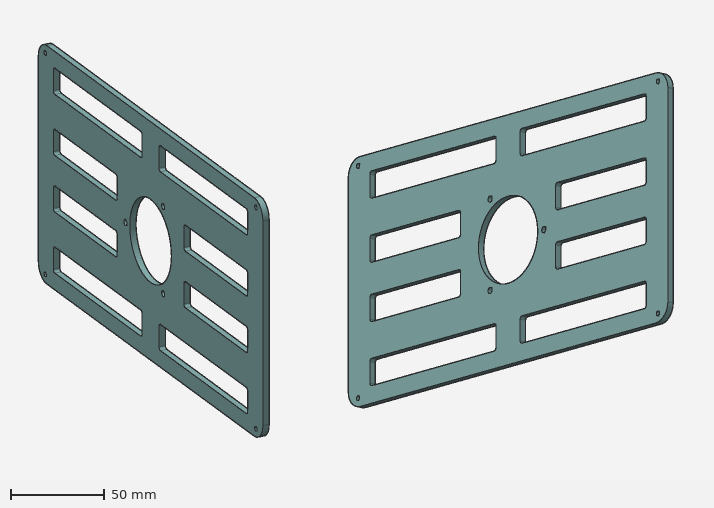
import cadquery as cq

width = 260.0
height = 138.0
thickness = 4.0
corner_radius = 10.0

slot_height = 15.0
slot_corner_radius = 1.5
slot_outer_end = 112.3
outer_slot_inner_end = 10.0
outer_slot_z = 51.7
inner_slot_inner_end = 38.7
inner_slot_z = 16.5

opening_diameter = 48.0
ring_radius = 29.0
ring_hole_count = 3
ring_hole_diameter = 3.5

mount_hole_diameter = 2.5
mount_hole_side_inset = 8.0
mount_hole_edge_inset = 5.0
mount_spacing_x = width - 2 * mount_hole_side_inset
mount_spacing_z = height - 2 * mount_hole_edge_inset


def extrude_through(sketch):
    """Extrude closed XZ outlines over the full plate thickness, centred on Y = 0."""
    return sketch.extrude(thickness / 2, both=True)


def slot_row(inner_end, z):
    """Four rounded slots placed symmetrically about the plate centre."""
    length = slot_outer_end - inner_end
    x = (slot_outer_end + inner_end) / 2
    centres = [(side * x, level * z) for side in (-1, 1) for level in (-1, 1)]
    slots = extrude_through(cq.Workplane("XZ").pushPoints(centres).rect(length, slot_height))
    return slots.edges("|Y").fillet(slot_corner_radius)


plate = extrude_through(cq.Workplane("XZ").rect(width, height))
plate = plate.edges("|Y").fillet(corner_radius)

opening = extrude_through(cq.Workplane("XZ").circle(opening_diameter / 2))

ring_holes = extrude_through(
    cq.Workplane("XZ")
    .polarArray(ring_radius, 180, 360, ring_hole_count)
    .circle(ring_hole_diameter / 2)
)

mount_holes = extrude_through(
    cq.Workplane("XZ")
    .rect(mount_spacing_x, mount_spacing_z, forConstruction=True)
    .vertices()
    .circle(mount_hole_diameter / 2)
)

result = (
    plate.cut(slot_row(outer_slot_inner_end, outer_slot_z))
    .cut(slot_row(inner_slot_inner_end, inner_slot_z))
    .cut(opening)
    .cut(ring_holes)
    .cut(mount_holes)
)